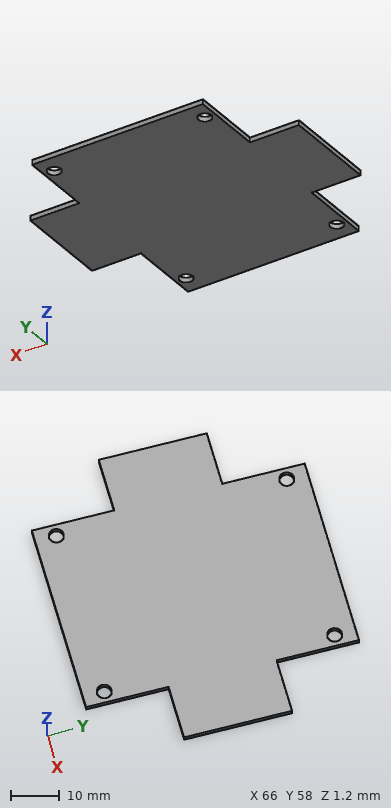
import cadquery as cq

length = 66.0
width = 58.0
thickness = 1.2

body_length = 42.0
arm_width = 23.0

hole_diameter = 3.1
hole_spacing_x = 37.0
hole_spacing_y = 49.0

body = cq.Workplane("XY").box(body_length, width, thickness)
arms = cq.Workplane("XY").box(length, arm_width, thickness)
plate = body.union(arms)

result = (
    plate.faces(">Z")
    .workplane(origin=(0, 0, 0))
    .rect(hole_spacing_x, hole_spacing_y, forConstruction=True)
    .vertices()
    .hole(hole_diameter)
)